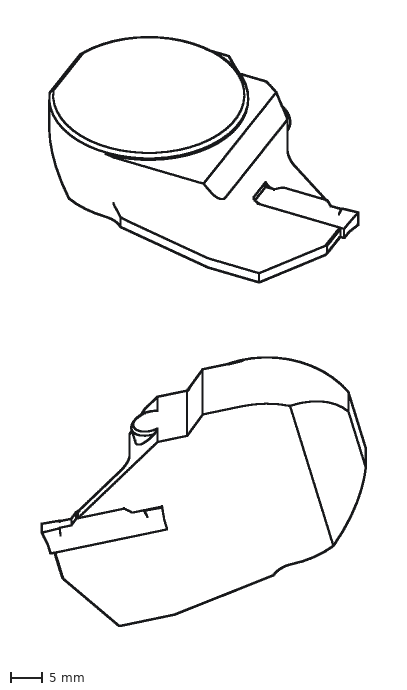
import cadquery as cq
import math


margin = 0.5

drum_radius = 16.0
drum_height = 13.65
drum_chamfer = 0.65
flat_x = -14.95
undercut_height = 7.55

block_top = 12.7
block_right = 20.7
block_front = -16.3
block_corner_radius = 1.8
block_chamfer = 3.05
plate_thickness = 1.9
root_fillet = 1.7
plate_right = 36.45
plate_front = -21.0
plate_edge_chamfer = 0.15
block_back = 12.55
plate_tip_x = 29.85
plate_tip_y = -9.55
slant_low_x = 31.1
slant_high_x = 14.95
rear_lug_x = 6.6
front_arc_radius = 4.7
front_arc_end_x = 3.35

boss_radius = 3.25
boss_x = 16.25
boss_z = 6.3
boss_length = 7.35
boss_chamfer = 0.45

insert_right = 37.4
insert_left = 17.4
insert_center_x = (insert_left + insert_right) / 2
insert_top_y = 0.1
insert_bottom_y = -4.45
insert_end_relief = 0.3
relief_y = -2.6
hump_height = 1.1
hump_half_base = 5.1
head_flare = 0.3
head_inner_x = 34.4
head_knee_x = 34.6
head_knee_y = -1.35
pocket_left = 20.85


def make_drum():
    drum = cq.Workplane("XY").circle(drum_radius).extrude(drum_height)
    keep = cq.Workplane("XY").box(
        2 * drum_radius, 2 * drum_radius, drum_height, centered=(False, True, False)
    ).translate((flat_x, 0, 0))
    drum = drum.intersect(keep).faces(">Z").edges().chamfer(drum_chamfer)
    undercut = (
        cq.Workplane("XZ")
        .polyline([(flat_x, 0), (flat_x + undercut_height, 0), (flat_x, undercut_height)])
        .close()
        .extrude(drum_radius, both=True)
    )
    return drum.cut(undercut)


def make_outline():
    """Plan shape of the block and plate, as tall as the block."""
    def sweep_y(x):
        drop = front_arc_radius - math.sqrt(front_arc_radius**2 - x**2)
        return -drum_radius - drop

    return (
        cq.Workplane("XY")
        .moveTo(0, -drum_radius)
        .threePointArc(
            (front_arc_end_x / 2, sweep_y(front_arc_end_x / 2)),
            (front_arc_end_x, sweep_y(front_arc_end_x)),
        )
        .lineTo(block_right, plate_front)
        .lineTo(plate_tip_x, plate_front)
        .lineTo(plate_right, plate_tip_y)
        .lineTo(plate_right, insert_bottom_y)
        .lineTo(slant_low_x, insert_bottom_y)
        .lineTo(slant_low_x, insert_top_y + hump_height)
        .lineTo(slant_high_x, block_back)
        .lineTo(rear_lug_x + drum_radius - block_back, block_back)
        .lineTo(rear_lug_x, drum_radius)
        .lineTo(0, drum_radius)
        .close()
        .extrude(block_top)
    )


def make_block_and_plate():
    """Block on an oversize plate with a filleted root, trimmed to the outline."""
    plate_width = drum_radius - plate_front
    plate = (
        cq.Workplane("XY")
        .box(plate_right, plate_width, plate_thickness, centered=False)
        .translate((0, plate_front, 0))
        .faces(">X").edges("|Y").chamfer(plate_edge_chamfer)
    )
    block = (
        cq.Workplane("XZ", origin=(0, block_front, 0))
        .polyline([
            (0, 0),
            (block_right, 0),
            (block_right, block_top - block_chamfer),
            (block_right - block_chamfer, block_top),
            (0, block_top),
        ])
        .close()
        .extrude(block_front - drum_radius)
    )
    corner_edge = cq.selectors.BoxSelector(
        (block_right - margin, block_front - margin, 0),
        (block_right + margin, block_front + margin, block_top),
    )
    block = block.edges("|Z").edges(corner_edge).fillet(block_corner_radius)
    root_edges = cq.selectors.BoxSelector(
        (-margin, block_front - margin, plate_thickness - margin),
        (block_right + margin, drum_radius + margin, plate_thickness + margin),
    )
    body = plate.union(block).edges(root_edges).fillet(root_fillet)
    return body.intersect(make_outline())


def make_boss():
    return (
        cq.Workplane("XZ", origin=(boss_x, block_back, boss_z))
        .circle(boss_radius)
        .extrude(boss_length)
        .faces(">Y").edges().chamfer(boss_chamfer)
    )


def make_insert_head():
    """Flared cutting head at the +X end, thickest at the cutting corner."""
    end_x = insert_right - insert_end_relief
    plan = (
        cq.Workplane("XY", origin=(0, 0, -head_flare))
        .polyline([
            (head_inner_x, insert_top_y),
            (head_knee_x, head_knee_y),
            (end_x, relief_y),
            (insert_right, insert_top_y),
        ])
        .close()
        .extrude(plate_thickness + 2 * head_flare)
    )
    run_x = end_x - head_knee_x
    run_y = relief_y - head_knee_y
    run = math.hypot(run_x, run_y)
    away = (-run_y / run, run_x / run)
    reach = (insert_right - head_knee_x) * away[0] + (insert_top_y - head_knee_y) * away[1]
    flare_plane = cq.Plane(
        origin=(head_knee_x, head_knee_y, 0), xDir=(away[0], away[1], 0),
        normal=(run_x, run_y, 0),
    )
    wedge = (
        cq.Workplane(flare_plane)
        .polyline([
            (0, 0),
            (0, plate_thickness),
            (reach, plate_thickness + head_flare),
            (reach, -head_flare),
        ])
        .close()
        .extrude(2 * run, both=True)
    )
    return plan.intersect(wedge)


def make_insert():
    half_length = (insert_right - insert_left) / 2
    half_body = half_length - insert_end_relief
    right_side = [
        (half_body, insert_bottom_y),
        (half_body, relief_y),
        (half_length, insert_top_y),
        (hump_half_base, insert_top_y),
        (hump_half_base - hump_height, insert_top_y + hump_height),
    ]
    left_side = [(-x, y) for x, y in reversed(right_side)]
    body = (
        cq.Workplane("XY", origin=(insert_center_x, 0, 0))
        .polyline(right_side + left_side)
        .close()
        .extrude(plate_thickness)
    )
    head = make_insert_head()
    opposite_head = head.mirror("YZ", (insert_center_x, 0, 0))
    return body.union(head).union(opposite_head)


def make_holder(insert):
    holder = make_block_and_plate().union(make_boss()).union(make_drum())
    fillet_opening = (
        cq.Workplane("XY")
        .box(root_fillet, insert_top_y - insert_bottom_y, root_fillet, centered=False)
        .translate((pocket_left, insert_bottom_y, plate_thickness))
    )
    return holder.cut(fillet_opening).cut(insert)


insert = make_insert()
holder = make_holder(insert)

result = cq.Compound.makeCompound([holder.val(), insert.val()])